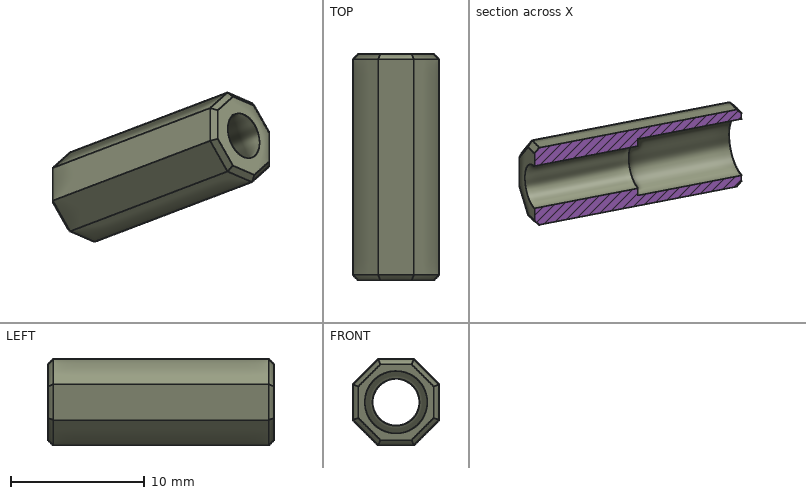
import cadquery as cq
import math

length = 17.0
across_flats = 6.5
chamfer = 0.4
through_diameter = 3.5
counterbore_diameter = 4.7
counterbore_depth = length / 2

sides = 8
half_side_angle = math.pi / sides
across_corners = across_flats / math.cos(half_side_angle)


def octagonal_body():
    """Octagonal bar with flats facing X and Z, chamfered at both ends."""
    bar = cq.Workplane("XY").polygon(sides, across_corners).extrude(length)
    bar = bar.rotate((0, 0, 0), (0, 0, 1), math.degrees(half_side_angle))
    bar = bar.faces("<Z or >Z").chamfer(chamfer)
    return bar.translate((0, 0, -length / 2)).rotate((0, 0, 0), (1, 0, 0), 90)


def bore(diameter, depth):
    """Cylinder running from the -Y end face into the body."""
    front_face = cq.Workplane("XZ", origin=(0, -length / 2, 0))
    return front_face.circle(diameter / 2).extrude(-depth)


result = (
    octagonal_body()
    .cut(bore(through_diameter, length))
    .cut(bore(counterbore_diameter, counterbore_depth))
)